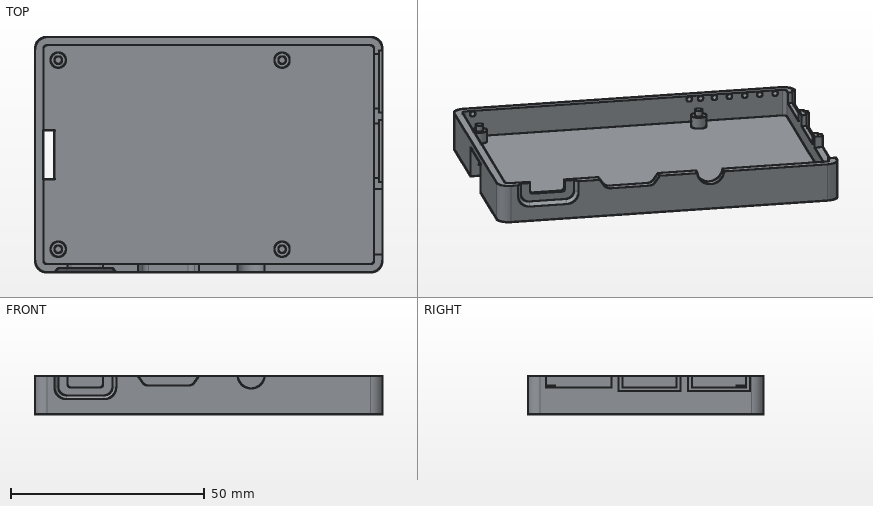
import cadquery as cq
import math

LENGTH = 90.0
WIDTH = 61.0
HEIGHT = 10.0
WALL = 2.2
FLOOR = 3.0
INNER_RADIUS = 1.0
OUTER_RADIUS = INNER_RADIUS + WALL

STANDOFF_INSET = 6.0
STANDOFF_SPACING = 58.0
STANDOFF_DIAMETER = 4.0
STANDOFF_TOP = 5.9
PIN_DIAMETER = 2.0
PIN_TOP = 7.5

CARD_WIDTH = 12.6
CARD_WEDGE = 7.9

POWER_X = -31.95
POWER_WIDTH = 9.2
POWER_DEPTH = 3.0
POWER_RADIUS = 0.8
RECESS_WIDTH = 16.0
RECESS_DEPTH = 6.0
RECESS_RADIUS = 3.15
RECESS_INTO_WALL = 1.2
RECESS_STEP = 1.0

VIDEO_X = -10.4
VIDEO_TOP_WIDTH = 15.8
VIDEO_BOTTOM_WIDTH = 12.2
VIDEO_DEPTH = 2.5
VIDEO_RADIUS = 2.0

AUDIO_X = 11.0
AUDIO_RADIUS = 3.5
AUDIO_DEPTH = 3.2

SIDE_PORT_BOTTOM = 7.0
NETWORK_Y = -17.4
NETWORK_WIDTH = 16.9
USB_CENTRES_Y = (1.0, 19.0)
USB_WIDTH = 14.0
USB_RIM = 1.0
USB_RIM_INTO_WALL = 0.9

DIMPLE_RADIUS = 0.7
DIMPLE_BELOW_TOP = 0.8
DIMPLES_X = (-40.0, 17.3, 20.25, 23.9, 27.9, 31.95, 35.9, 40.0)

INNER_LENGTH = LENGTH - 2 * WALL
INNER_WIDTH = WIDTH - 2 * WALL


def make_tray():
    outer = cq.Workplane("XY").box(LENGTH, WIDTH, HEIGHT, centered=(True, True, False))
    outer = outer.edges("|Z").fillet(OUTER_RADIUS)
    cavity = cq.Workplane("XY").workplane(offset=FLOOR)
    cavity = cavity.rect(INNER_LENGTH, INNER_WIDTH).extrude(HEIGHT - FLOOR)
    return outer.cut(cavity.edges("|Z").fillet(INNER_RADIUS))


def make_standoffs():
    first_x = STANDOFF_INSET - LENGTH / 2
    row_y = WIDTH / 2 - STANDOFF_INSET
    centres = [(x, y) for x in (first_x, first_x + STANDOFF_SPACING) for y in (-row_y, row_y)]
    base = cq.Workplane("XY").workplane(offset=FLOOR).pushPoints(centres)
    posts = base.circle(STANDOFF_DIAMETER / 2).extrude(STANDOFF_TOP - FLOOR)
    pins = base.circle(PIN_DIAMETER / 2).extrude(PIN_TOP - FLOOR)
    return posts.union(pins)


def make_card_wedge():
    left = -LENGTH / 2
    corners = [(left, 0), (left + CARD_WEDGE, 0), (left, CARD_WEDGE)]
    profile = cq.Workplane("XZ").polyline(corners).close()
    return profile.extrude(CARD_WIDTH / 2, both=True)


def rounded_notch(x, width, depth, radius, y):
    """Closed outline in the plane at y: a notch open at the rim with rounded lower corners."""
    corner = radius * (1 - math.sqrt(0.5))
    left, right = x - width / 2, x + width / 2
    bottom = HEIGHT - depth
    return (
        cq.Workplane("XZ", origin=(0, y, 0))
        .moveTo(left, HEIGHT)
        .lineTo(left, bottom + radius)
        .threePointArc((left + corner, bottom + corner), (left + radius, bottom))
        .lineTo(right - radius, bottom)
        .threePointArc((right - corner, bottom + corner), (right, bottom + radius))
        .lineTo(right, HEIGHT)
        .close()
    )


def make_power_port():
    face = -WIDTH / 2
    opening = rounded_notch(POWER_X, POWER_WIDTH, POWER_DEPTH, POWER_RADIUS, face).extrude(-WALL)
    mouth = rounded_notch(POWER_X, RECESS_WIDTH, RECESS_DEPTH, RECESS_RADIUS, face)
    seat = rounded_notch(
        POWER_X,
        RECESS_WIDTH - 2 * RECESS_STEP,
        RECESS_DEPTH - RECESS_STEP,
        RECESS_RADIUS - RECESS_STEP,
        face + RECESS_INTO_WALL,
    )
    recess = cq.Solid.makeLoft([mouth.val(), seat.val()], True)
    return opening.union(cq.Workplane(recess))


def make_video_port():
    half_top, half_bottom = VIDEO_TOP_WIDTH / 2, VIDEO_BOTTOM_WIDTH / 2
    bottom = HEIGHT - VIDEO_DEPTH
    corners = [
        (VIDEO_X - half_top, HEIGHT),
        (VIDEO_X - half_bottom, bottom),
        (VIDEO_X + half_bottom, bottom),
        (VIDEO_X + half_top, HEIGHT),
    ]
    profile = cq.Workplane("XZ", origin=(0, -WIDTH / 2, 0)).polyline(corners).close()
    port = profile.extrude(-WALL)
    return port.edges("|Y and <Z").fillet(VIDEO_RADIUS)


def make_audio_port():
    centre_z = HEIGHT - AUDIO_DEPTH + AUDIO_RADIUS
    port = cq.Workplane("XZ", origin=(0, -WIDTH / 2, 0)).center(AUDIO_X, centre_z)
    return port.circle(AUDIO_RADIUS).extrude(-WALL)


def side_notch(y, width, bottom, into_wall):
    """Box cut into the +X wall from its outer face, open at the rim."""
    return cq.Workplane("XY", origin=(LENGTH / 2 - into_wall, y, bottom)).box(
        into_wall, width, HEIGHT - bottom, centered=(False, True, False)
    )


def make_side_ports():
    ports = side_notch(NETWORK_Y, NETWORK_WIDTH, SIDE_PORT_BOTTOM, WALL)
    rim_width = USB_WIDTH + 2 * USB_RIM
    for y in USB_CENTRES_Y:
        ports = ports.union(side_notch(y, USB_WIDTH, SIDE_PORT_BOTTOM, WALL))
        ports = ports.union(side_notch(y, rim_width, SIDE_PORT_BOTTOM - USB_RIM, USB_RIM_INTO_WALL))
    return ports


def make_dimples():
    places = [(x, INNER_WIDTH / 2, HEIGHT - DIMPLE_BELOW_TOP) for x in DIMPLES_X]
    return cq.Workplane("XY").pushPoints(places).sphere(DIMPLE_RADIUS)


result = (
    make_tray()
    .union(make_standoffs())
    .cut(make_card_wedge())
    .cut(make_power_port())
    .cut(make_video_port())
    .cut(make_audio_port())
    .cut(make_side_ports())
    .cut(make_dimples())
)